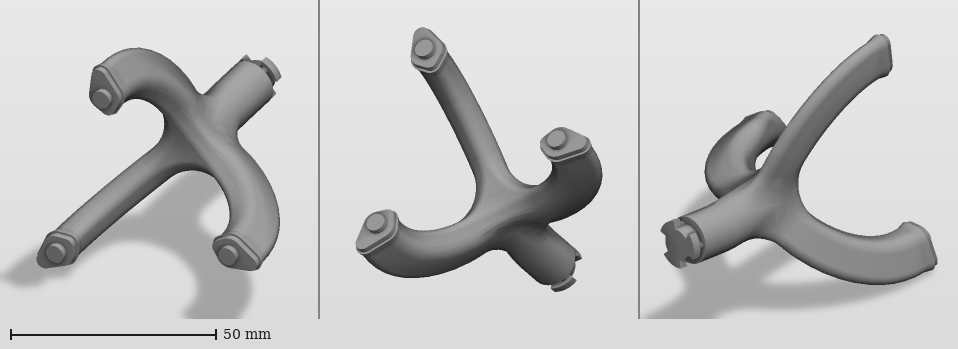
import cadquery as cq
import math

ARM_COUNT = 3
ARM_STEP = 360 / ARM_COUNT
FIRST_ARM_ANGLE = 105

ARM_SPREAD = 28.4
ARM_END_RADIUS = 25.15
ARM_ARC_SWEEP = 90 / 3
MIDDLE_SHARE = math.sin(math.radians(2 * ARM_ARC_SWEEP)) - math.sin(math.radians(ARM_ARC_SWEEP))
ARM_MIDDLE_RADIUS = (ARM_SPREAD - ARM_END_RADIUS * (1 - MIDDLE_SHARE)) / MIDDLE_SHARE
SECTION_TIP = (5.45, 0, 2.05)
SECTION_RIGHT = (-0.2, 0.8, 3.4)
SECTION_LEFT = (-0.2, -0.8, 3.4)
SECTION_HEEL = (-3.1, 0, 1.9)

FLARE_HEIGHT = 2.45
FLARE_MARGIN = 0.55
TENON_LENGTH = 1.55
STUD_LENGTH = 1.6
STUD_RADIUS = 2.345

TRUNK_RADIUS = 6.08
TRUNK_BOTTOM = 31.25
BEND_START = 46.4
BEND_LENGTH = 5.7
BEND_ANGLE = 8
BEND_RADIUS = BEND_LENGTH / math.radians(BEND_ANGLE)
BEND_DIRECTION = 45
TRUNK_END_LENGTH = 8.0

CORE_RADIUS = 4.1
LUG_GAP = 1.9
LUG_THICKNESS = 2.1
LUG_COUNT = 3
LUG_STEP = 360 / LUG_COUNT
LUG_START_ANGLE = 11
LUG_SPAN = 63
POST_RADIUS = 1.0
POST_ANGLE = 53

CROTCH_FILLET = 12.9
TRUNK_FILLET = 10.9
TOLERANCE = 0.001


def polar(radius, angle):
    """Point at the given radius and angle in degrees."""
    return (radius * math.cos(math.radians(angle)), radius * math.sin(math.radians(angle)))


def turn_about_trunk(shape, angle):
    """Turn a shape about the Y axis, from +X toward +Z."""
    return shape.rotate((0, 0, 0), (0, -1, 0), angle)


def level(y):
    """Workplane square to the trunk axis: local x is X, local y is Z, normal is -Y."""
    return cq.Workplane("XZ", origin=(0, y, 0))


def arm_section(workplane, margin=0.0):
    """Draw the rounded kite of an arm, grown outward by margin, around the arm's end point."""
    circles = []
    for outward, sideways, radius in (SECTION_TIP, SECTION_RIGHT, SECTION_HEEL, SECTION_LEFT):
        circles.append((outward, sideways, radius + margin))

    leave_angles = []
    for (x1, y1, r1), (x2, y2, r2) in zip(circles, circles[1:] + circles[:1]):
        heading = math.degrees(math.atan2(y2 - y1, x2 - x1))
        lean = math.degrees(math.acos((r1 - r2) / math.hypot(x2 - x1, y2 - y1)))
        leave_angles.append(heading - lean)

    for i, (x, y, radius) in enumerate(circles):
        arrive = leave_angles[i - 1]
        turn = (leave_angles[i] - arrive) % 360
        arc = []
        for angle in (arrive, arrive + turn / 2, arrive + turn):
            dx, dy = polar(radius, angle)
            arc.append((x + dx, y + dy))
        workplane = workplane.moveTo(*arc[0]) if i == 0 else workplane.lineTo(*arc[0])
        workplane = workplane.threePointArc(arc[1], arc[2])
    return workplane.close()


def arm():
    """Chain of arcs from the top of the foot to the trunk axis."""
    body = cq.Workplane("XZ")
    position = cq.Vector(ARM_SPREAD, FLARE_HEIGHT, 0)
    for i, radius in enumerate((ARM_END_RADIUS, ARM_MIDDLE_RADIUS, ARM_END_RADIUS)):
        outward = cq.Vector(*polar(1, ARM_ARC_SWEEP * i), 0)
        backward = outward.cross(cq.Vector(0, 0, 1))
        start = cq.Workplane(cq.Plane(origin=position, xDir=outward, normal=backward))
        arc = arm_section(start).revolve(ARM_ARC_SWEEP, (-radius, 0, 0), (-radius, 1, 0))
        body = body.union(arc)
        next_outward = cq.Vector(*polar(1, ARM_ARC_SWEEP * (i + 1)), 0)
        position = position + (next_outward - outward) * radius
    return body


def foot_level(y):
    """Workplane square to the trunk axis, centred on the end of an arm."""
    return level(y).center(ARM_SPREAD, 0)


def foot():
    """Flared shoulder, tenon and locating stud at the end of an arm."""
    flare_top = arm_section(foot_level(FLARE_HEIGHT)).val()
    flare_bottom = arm_section(foot_level(0), FLARE_MARGIN).val()
    flare = cq.Solid.makeLoft([flare_top, flare_bottom], True)
    tenon = arm_section(foot_level(0)).extrude(TENON_LENGTH)
    stud = foot_level(-TENON_LENGTH).circle(STUD_RADIUS).extrude(STUD_LENGTH)
    return tenon.union(stud).union(cq.Workplane(flare))


def around_trunk(shape):
    """One copy of the shape for every arm."""
    copies = [turn_about_trunk(shape, FIRST_ARM_ANGLE + ARM_STEP * i) for i in range(ARM_COUNT)]
    combined = copies[0]
    for copy in copies[1:]:
        combined = combined.union(copy)
    return combined


def is_crotch(edge):
    """True for an edge where two neighbouring arms meet, halfway between them."""
    middle = edge.positionAt(0.5)
    crotch_angle = math.radians(FIRST_ARM_ANGLE + ARM_STEP / 2)
    mismatch = ARM_COUNT * (math.atan2(middle.z, middle.x) - crotch_angle)
    near_axis = math.hypot(middle.x, middle.z) < ARM_SPREAD / 2
    return near_axis and math.cos(mismatch) > 0.7 - TOLERANCE


def is_trunk_root(edge):
    """True for an edge where the trunk's side emerges from the arms."""
    for fraction in (0.1, 0.5, 0.9):
        point = edge.positionAt(fraction)
        on_side = abs(math.hypot(point.x, point.z) - TRUNK_RADIUS) < TOLERANCE
        below_bend = point.y < BEND_START - TOLERANCE
        if not (on_side and below_bend):
            return False
    return True


def filleted(body, is_wanted, radius):
    """Round the edges of the body that pass the given test."""
    edges = [edge for edge in body.edges().vals() if is_wanted(edge)]
    return cq.Workplane(body.val().fillet(radius, edges))


def hub():
    """Arms blended into each other and into the straight root of the trunk."""
    arms = filleted(around_trunk(arm()), is_crotch, CROTCH_FILLET)
    root = level(BEND_START).circle(TRUNK_RADIUS).extrude(BEND_START - TRUNK_BOTTOM)
    return filleted(arms.union(root), is_trunk_root, TRUNK_FILLET)


def bend():
    """Bent stretch of the trunk, leaning toward +X."""
    disc = level(BEND_START).circle(TRUNK_RADIUS)
    return disc.revolve(BEND_ANGLE, (BEND_RADIUS, 0.7, 0), (BEND_RADIUS, 0, 0))


def bayonet_lug(start_angle):
    """Sector-shaped lug at the outer end of the core."""
    middle_angle = start_angle + LUG_SPAN / 2
    end_angle = start_angle + LUG_SPAN
    return (
        level(BEND_START + TRUNK_END_LENGTH + LUG_GAP)
        .lineTo(*polar(TRUNK_RADIUS, start_angle))
        .threePointArc(polar(TRUNK_RADIUS, middle_angle), polar(TRUNK_RADIUS, end_angle))
        .close()
        .extrude(-LUG_THICKNESS)
    )


def bayonet_post(angle):
    """Round post half sunk in the core, bridging the gap under a lug."""
    shoulder = level(BEND_START + TRUNK_END_LENGTH)
    return shoulder.center(*polar(CORE_RADIUS, angle)).circle(POST_RADIUS).extrude(-LUG_GAP)


def trunk_end():
    """Straight end of the trunk and its bayonet, standing on the bend start as if there were no bend."""
    core_length = TRUNK_END_LENGTH + LUG_GAP + LUG_THICKNESS
    end = level(BEND_START).circle(TRUNK_RADIUS).extrude(-TRUNK_END_LENGTH)
    end = end.union(level(BEND_START).circle(CORE_RADIUS).extrude(-core_length))
    for i in range(LUG_COUNT):
        turn = LUG_STEP * i - BEND_DIRECTION
        end = end.union(bayonet_lug(LUG_START_ANGLE + turn))
        end = end.union(bayonet_post(POST_ANGLE + turn))
    return end


def bent_trunk():
    """Bend and trunk end, leaning in the bend direction."""
    tilted_end = trunk_end().rotate((BEND_RADIUS, BEND_START, 0), (BEND_RADIUS, BEND_START, 1), -BEND_ANGLE)
    return turn_about_trunk(bend().union(tilted_end), BEND_DIRECTION)


result = hub().union(around_trunk(foot())).union(bent_trunk())